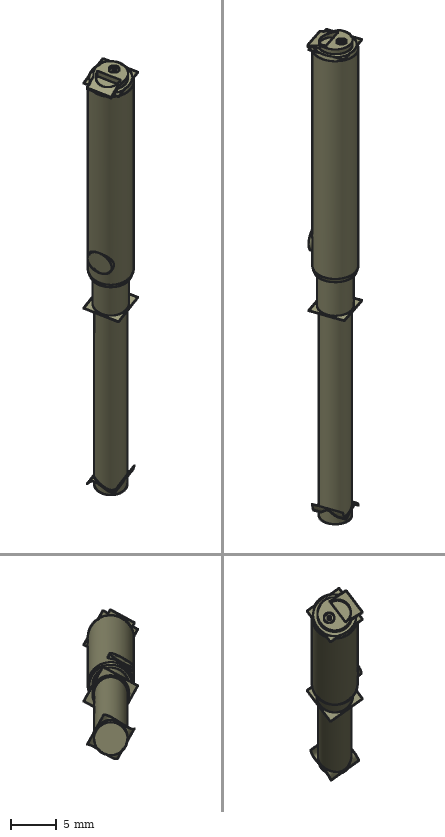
import cadquery as cq

total_height = 63.8
sleeve_bottom = 28.05
chamfer_bottom = 32.85
body_bottom = 33.4
body_top = 62.6
shoulder_top = 63.15

rod_radius = 1.85
sleeve_radius = 2.05
body_radius = 2.55
shoulder_radius = 2.35

sheet_thickness = 0.05
flange_side = 4.4

wave_half_width = 1.9
wave_start_height = 0.65
wave_crest = (-0.5, 1.35)
wave_dip = (0.95, 0.75)
wave_end_height = 2.0

button_radius = 1.5
button_height = 36.5

head_radius = 1.9
slope_start_y = -0.4
lip_reach = 2.7
lip_thickness = 0.2
lip_width = 3.05
ring_center_y = 0.75
ring_outer_radius = 0.6
pin_radius = 0.2
ring_depth = 0.3
dish_radius = 1.45
dish_depth = 0.2


def make_shaft():
    """Stepped round shaft with a taper at each end of the body."""
    return (
        cq.Workplane("XZ")
        .moveTo(0, 0)
        .lineTo(rod_radius, 0)
        .lineTo(rod_radius, sleeve_bottom)
        .lineTo(sleeve_radius, sleeve_bottom)
        .lineTo(sleeve_radius, chamfer_bottom)
        .lineTo(shoulder_radius, chamfer_bottom)
        .lineTo(body_radius, body_bottom)
        .lineTo(body_radius, body_top)
        .lineTo(shoulder_radius, shoulder_top)
        .lineTo(0, shoulder_top)
        .close()
        .revolve(360, (0, 0, 0), (0, 1, 0))
    )


def make_flange(height):
    """Thin square plate whose underside sits at the given height."""
    return (
        cq.Workplane("XY")
        .workplane(offset=height)
        .rect(flange_side, flange_side)
        .extrude(sheet_thickness)
    )


def make_wave_flange():
    """Thin square sheet that rises, dips and rises again along X."""
    points = [
        (-wave_half_width, wave_start_height),
        wave_crest,
        wave_dip,
        (wave_half_width, wave_end_height),
    ]
    upper_points = [(x, z + sheet_thickness) for x, z in reversed(points)]
    return (
        cq.Workplane("XZ")
        .moveTo(*points[0])
        .spline(points[1:], includeCurrent=True)
        .lineTo(*upper_points[0])
        .spline(upper_points[1:], includeCurrent=True)
        .close()
        .extrude(wave_half_width, both=True)
    )


def make_button():
    """Flat-faced disc tangent to the -Y side of the body."""
    return (
        cq.Workplane("XZ")
        .center(0, button_height)
        .circle(button_radius)
        .extrude(body_radius)
    )


def make_head():
    """Round head with a sloping front that runs out into a lip."""
    lip_bottom = shoulder_top - lip_thickness
    side_profile = (
        cq.Workplane("YZ")
        .moveTo(head_radius, lip_bottom)
        .lineTo(head_radius, total_height)
        .lineTo(slope_start_y, total_height)
        .lineTo(-lip_reach, shoulder_top)
        .lineTo(-lip_reach, lip_bottom)
        .close()
        .extrude(head_radius, both=True)
    )
    plan_height = total_height - lip_bottom
    base = cq.Workplane("XY").workplane(offset=lip_bottom)
    disc = base.circle(head_radius).extrude(plan_height)
    lip = base.center(0, -lip_reach / 2).rect(lip_width, lip_reach).extrude(plan_height)
    return side_profile.intersect(disc.union(lip))


def make_head_cuts():
    """Ring groove around a central pin, and a half-round dish on the slope."""
    ring = (
        cq.Workplane("XY")
        .workplane(offset=total_height - ring_depth)
        .center(0, ring_center_y)
        .circle(ring_outer_radius)
        .circle(pin_radius)
        .extrude(ring_depth)
    )
    dish = (
        cq.Workplane("XY")
        .workplane(offset=shoulder_top - dish_depth)
        .moveTo(-dish_radius, slope_start_y)
        .threePointArc((0, slope_start_y - dish_radius), (dish_radius, slope_start_y))
        .close()
        .extrude(total_height - shoulder_top + dish_depth)
    )
    return ring.union(dish)


flange_heights = (sleeve_bottom, shoulder_top - sheet_thickness)

result = make_shaft().union(make_button()).union(make_wave_flange())
for flange_height in flange_heights:
    result = result.union(make_flange(flange_height))
result = result.union(make_head()).cut(make_head_cuts())